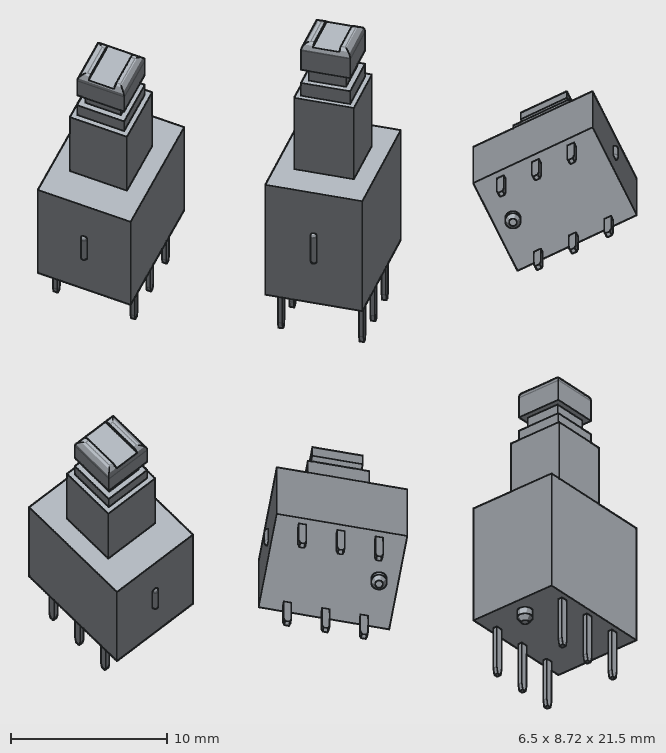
import cadquery as cq

body_width = 6.5
body_depth = 8.5
body_height = 8.5
total_height = 21.5

pin_length = 3.5
pin_thickness = 0.3
pin_width = 0.5
pin_tip_width = 0.3
pin_tip_length = 0.5
pin_row_x = 2.7
pin_pitch = 2.5
pin_columns = (-1, 0, 1)

peg_diameter = 1.0
peg_tip_diameter = 0.5
peg_straight = 0.5
peg_tip_length = 0.35
peg_y = 2.99

rib_radius = 0.22
rib_straight = 1.9
rib_center_above_base = 4.24

stem_width = 4.0
stem_height = 5.5
collar_width = 3.3
collar_height = 0.99
neck_width = 2.5
neck_height = 1.0
cap_radius = 0.5
slot_width = 1.76
slot_depth = 0.2

body_top = pin_length + body_height
collar_base = body_top + stem_height
neck_base = collar_base + collar_height
cap_base = neck_base + neck_height
cap_height = total_height - cap_base


def block(width, depth, height, base_z):
    """Box centred on the Z axis, rising from base_z."""
    return cq.Workplane("XY", origin=(0, 0, base_z)).rect(width, depth).extrude(height)


def make_plunger():
    stem = block(stem_width, stem_width, stem_height, body_top)
    collar = block(collar_width, collar_width, collar_height, collar_base)
    neck = block(neck_width, neck_width, neck_height, neck_base)
    cap = block(collar_width, collar_width, cap_height, cap_base).faces(">Z").edges().fillet(cap_radius)
    slot = block(slot_width, collar_width, slot_depth, total_height - slot_depth)
    return stem.union(collar).union(neck).union(cap.cut(slot))


def make_pin(x, y):
    """Blade whose width, along Y, narrows towards the tip at Z = 0."""
    return (
        cq.Workplane("YZ", origin=(x - pin_thickness / 2, y, 0))
        .moveTo(-pin_tip_width / 2, 0)
        .lineTo(pin_tip_width / 2, 0)
        .lineTo(pin_width / 2, pin_tip_length)
        .lineTo(pin_width / 2, pin_length)
        .lineTo(-pin_width / 2, pin_length)
        .lineTo(-pin_width / 2, pin_tip_length)
        .close()
        .extrude(pin_thickness)
    )


def make_peg():
    chamfer_width = (peg_diameter - peg_tip_diameter) / 2
    return (
        cq.Workplane("XY", origin=(0, peg_y, pin_length))
        .circle(peg_diameter / 2)
        .extrude(-(peg_straight + peg_tip_length))
        .faces("<Z")
        .chamfer(peg_tip_length, chamfer_width)
    )


def make_rib():
    """Upright round bar with spherical ends, its axis lying in the front face."""
    center_z = pin_length + rib_center_above_base
    lower_z = center_z - rib_straight / 2
    face = cq.Workplane("XY", origin=(0, -body_depth / 2, lower_z))
    rib = face.circle(rib_radius).extrude(rib_straight)
    for end_height in (0, rib_straight):
        rib = rib.union(face.workplane(offset=end_height).sphere(rib_radius))
    return rib


result = block(body_width, body_depth, body_height, pin_length)
result = result.union(make_plunger()).union(make_peg()).union(make_rib())
for row_side in (-1, 1):
    for column in pin_columns:
        result = result.union(make_pin(row_side * pin_row_x, column * pin_pitch))